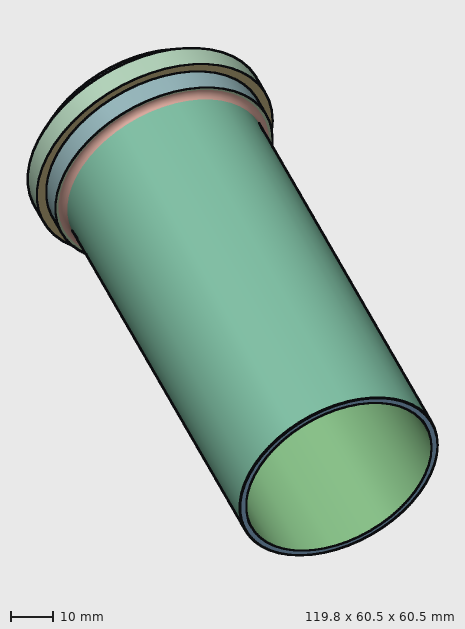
import cadquery as cq

total_length = 119.84
bore_diameter = 47.5
tube_diameter = 50.8
collar_diameter = 60.45
shoulder_diameter = 55.68

nose_chamfer = 3.97
collar_end = 9.525
shoulder_end = 15.08
root_fillet = 1.588
edge_break = 0.127

bore_radius = bore_diameter / 2
tube_radius = tube_diameter / 2
collar_radius = collar_diameter / 2
shoulder_radius = shoulder_diameter / 2


def ferrule():
    """Revolve the wall section of the ferrule about the X axis."""
    section = (
        cq.Workplane("XY")
        .moveTo(edge_break, bore_radius)
        .lineTo(0, bore_radius + edge_break)
        .lineTo(0, collar_radius - nose_chamfer)
        .lineTo(nose_chamfer, collar_radius)
        .lineTo(collar_end, collar_radius)
        .lineTo(collar_end, shoulder_radius)
        .lineTo(shoulder_end, shoulder_radius)
        .lineTo(shoulder_end, tube_radius + root_fillet)
        .radiusArc((shoulder_end + root_fillet, tube_radius), -root_fillet)
        .lineTo(total_length - edge_break, tube_radius)
        .lineTo(total_length, tube_radius - edge_break)
        .lineTo(total_length, bore_radius)
        .close()
    )
    return section.revolve(360, (0, 0, 0), (1, 0, 0))


result = ferrule()